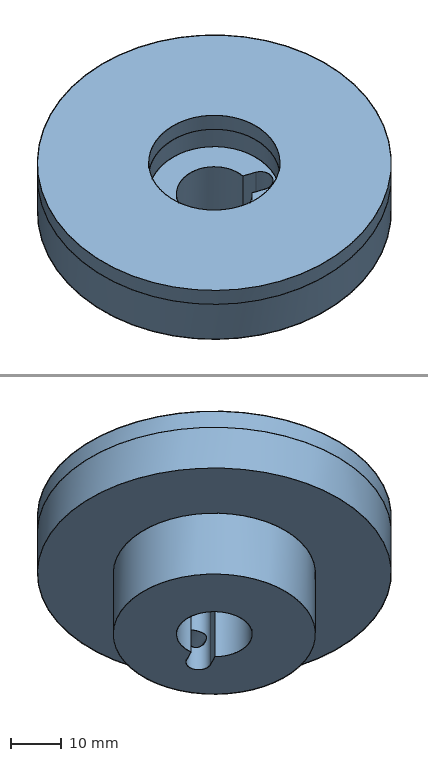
import cadquery as cq

flange_diameter = 70.0
hub_diameter = 40.0
bore_diameter = 15.0
recess_diameter = 26.0
hub_height = 15.0
flange_thickness = 10.0
cover_thickness = 4.0
recess_depth = 5.0
keyway_width = 5.0
keyway_reach = 12.3
set_screw_hole_diameter = 4.2

flange_top = hub_height + flange_thickness
keyway_end_center = keyway_reach - keyway_width / 2


def cylinder(diameter, height, base):
    return cq.Workplane("XY").workplane(offset=base).circle(diameter / 2).extrude(height)


def keyway_cutter():
    """Radial slot toward +Y with a full-round outer end, through the whole height."""
    half_width = keyway_width / 2
    return (
        cq.Workplane("XY")
        .moveTo(-half_width, 0)
        .lineTo(half_width, 0)
        .lineTo(half_width, keyway_end_center)
        .threePointArc((0, keyway_reach), (-half_width, keyway_end_center))
        .close()
        .extrude(flange_top)
    )


def set_screw_hole_cutter():
    """Radial hole at mid-height of the hub, from the axis out through the +Y side."""
    return (
        cq.Workplane("XZ", origin=(0, 0, hub_height / 2))
        .circle(set_screw_hole_diameter / 2)
        .extrude(-hub_diameter)
    )


def make_flanged_hub():
    body = cylinder(hub_diameter, hub_height, 0)
    body = body.union(cylinder(flange_diameter, flange_thickness, hub_height))
    body = body.cut(cylinder(bore_diameter, flange_top, 0))
    body = body.cut(cylinder(recess_diameter, recess_depth, flange_top - recess_depth))
    body = body.cut(keyway_cutter())
    return body.cut(set_screw_hole_cutter())


def make_cover_plate():
    plate = cylinder(flange_diameter, cover_thickness, flange_top)
    return plate.cut(cylinder(recess_diameter, cover_thickness, flange_top))


flanged_hub = make_flanged_hub()
cover_plate = make_cover_plate()

result = cq.Compound.makeCompound([flanged_hub.val(), cover_plate.val()])